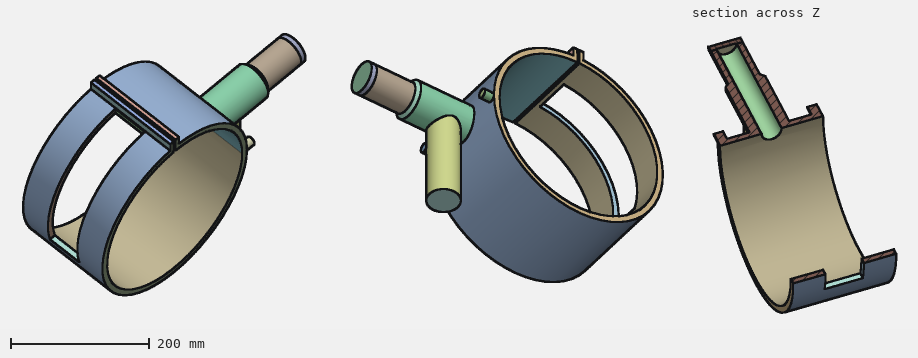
import cadquery as cq

ring_width = 160.0
ring_outer_radius = 149.8
ring_wall = 10.0
ring_inner_radius = ring_outer_radius - ring_wall

ear_top = 165.0
ear_thickness = 7.0
split_gap = 4.0
ears_width = split_gap + 2 * ear_thickness

window_width = 59.0
window_bottom = -35.0
window_rear = -10.0

overall_length = 477
pipe_end = overall_length - ring_outer_radius
pipe_diameter = 62.0
spigot_diameter = 50.0
shoulder_chamfer = (pipe_diameter - spigot_diameter) / 2
spigot_start = 250.0
bore_diameter = 30.5
cap_thickness = 9.0
cap_start = pipe_end - cap_thickness

overall_height = 328.5
branch_diameter = 50.0
branch_y = 182.0
branch_bottom = ear_top - overall_height

peg_diameter = 15.0
peg_end = 165.5
peg_x = (ring_width - peg_diameter) / 2

root_y = ring_inner_radius + ring_wall / 2


def cylinder_along_y(diameter, start, end, x=0):
    """Cylinder with its axis along Y at height zero."""
    direction = cq.Vector(0, 1, 0)
    solid = cq.Solid.makeCylinder(diameter / 2, end - start, cq.Vector(x, start, 0), direction)
    return cq.Workplane(obj=solid)


def cylinder_along_x(radius):
    """Cylinder spanning the ring width, on the ring axis."""
    return cq.Workplane("YZ", origin=(-ring_width / 2, 0, 0)).circle(radius).extrude(ring_width)


def block_on_split(thickness):
    """Upright block from the ring axis to the ear tops, centred on the split."""
    return cq.Workplane("XY").rect(ring_width, thickness).extrude(ear_top)


def make_window_cutter():
    depth = ring_outer_radius + window_rear
    return (
        cq.Workplane("XY", origin=(0, window_rear - depth / 2, window_bottom))
        .rect(window_width, depth)
        .extrude(ear_top - window_bottom)
    )


def make_pipe():
    pipe_radius = pipe_diameter / 2
    spigot_radius = spigot_diameter / 2
    run = (
        cq.Workplane("XY")
        .moveTo(0, root_y)
        .lineTo(pipe_radius, root_y)
        .lineTo(pipe_radius, spigot_start - shoulder_chamfer)
        .lineTo(spigot_radius, spigot_start)
        .lineTo(spigot_radius, cap_start)
        .lineTo(0, cap_start)
        .close()
        .revolve(360, (0, 0, 0), (0, 1, 0))
    )
    branch = (
        cq.Workplane("XY", origin=(0, branch_y, branch_bottom))
        .circle(branch_diameter / 2)
        .extrude(-branch_bottom)
    )
    return run.union(branch)


def make_clamp():
    clamp = cylinder_along_x(ring_outer_radius).union(block_on_split(ears_width))
    clamp = clamp.union(make_pipe())
    for x in (-peg_x, peg_x):
        clamp = clamp.union(cylinder_along_y(peg_diameter, root_y, peg_end, x))
    clamp = clamp.cut(cylinder_along_x(ring_inner_radius))
    clamp = clamp.cut(block_on_split(split_gap))
    clamp = clamp.cut(make_window_cutter())
    return clamp.cut(cylinder_along_y(bore_diameter, 0, cap_start))


def make_end_cap():
    """Disc that closes the bore at the end of the spigot."""
    return cylinder_along_y(spigot_diameter, cap_start, pipe_end)


clamp = make_clamp()
end_cap = make_end_cap()

result = cq.Compound.makeCompound([clamp.solids().val(), end_cap.val()])